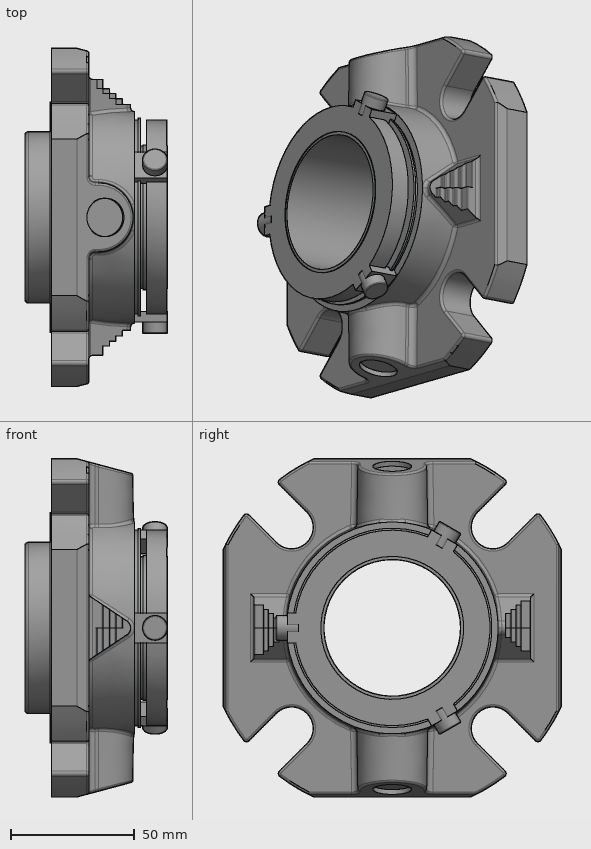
import cadquery as cq
import math


flange_width = 136.5
flange_thickness = 15.15
corner_radius = 75.2
taper_start = 10.3
taper_angle = 15.0
slot_width = 17.3
slot_centre_radius = 57.4
slot_tip_fillet = 1.4
back_edge_fillet = 1.0
pad_diameter = 93.0
pad_height = 0.5

body_base_radius = 43.4
body_end_radius = 42.7
body_end = 33.6
root_fillet = 1.5

boss_centre_x = 19.0
boss_radius = 14.4
boss_draft = 1.0
boss_base_z = 36.0
boss_foot_fillet = 2.5
plug_diameter = 15.5
plug_centre_x = 21.8
plug_recess = 2.0

rib_half_width = 13.0
rib_shoulder_x = 30.6
rib_shoulder_half_width = 2.7
rib_tip_x = 32.0
rib_step_fillet = 0.3
rib_treads = [55.7, 51.9, 50.0, 47.9, 45.6]
rib_risers = [18.4, 20.8, 23.5, 26.0, 28.7]

bore_diameter = 54.99
sleeve_front = -10.7
sleeve_diameter = 69.2
sleeve_fillet = 1.5
overall_length = 57.63
ring_end = sleeve_front + overall_length
ring_diameter = 57.63
seal_diameter = 78.87
seal_end = 35.0
flinger_diameter = 80.39
flinger_end = 36.0
hub_diameter = 58.6
hub_start = 37.0
collar_diameter = 78.87
collar_start = 38.3
collar_end = 46.6

lug_angles = [60, 180, 300]
lug_width = 12.0
lug_inner_radius = 37.9
lug_outer_radius = 42.2
screw_diameter = 10.0
screw_end_radius = 46.8
screw_x = 41.8
screw_edge_fillet = 0.4

half_width = flange_width / 2
tolerance = 0.02
taper_slope = math.tan(math.radians(taper_angle))


def disc(x_start, x_end, diameter):
    """Cylinder on the bearing axis."""
    return cq.Workplane("YZ", origin=(x_start, 0, 0)).circle(diameter / 2).extrude(x_end - x_start)


def tapered_square():
    """Square prism whose sides lean inward beyond taper_start."""
    straight = cq.Workplane("YZ").rect(flange_width, flange_width).extrude(taper_start)
    leaning = (
        cq.Workplane("YZ", origin=(taper_start, 0, 0))
        .rect(flange_width, flange_width)
        .extrude(body_end + boss_radius - taper_start, taper=taper_angle)
    )
    return straight.union(leaning)


def flange_slot(angle):
    """Open bolt slot that runs outward from its round inner end."""
    length = corner_radius
    outer_run = cq.Workplane("YZ").center(slot_centre_radius + length / 2, 0)
    slot = outer_run.rect(length, slot_width).extrude(flange_thickness)
    round_end = cq.Workplane("YZ").center(slot_centre_radius, 0).circle(slot_width / 2)
    slot = slot.union(round_end.extrude(flange_thickness))
    return slot.rotate((0, 0, 0), (1, 0, 0), angle)


def is_slot_tip(edge):
    """True where a slot side meets the turned corner of the flange."""
    centre = edge.Center()
    nearest_axis = min(abs(centre.y), abs(centre.z))
    on_corner = math.hypot(centre.y, centre.z) > corner_radius - slot_tip_fillet
    return on_corner and nearest_axis > half_width / 2


def flange():
    plate = tapered_square().intersect(disc(0, flange_thickness, 2 * corner_radius))
    for angle in (45, 135, 225, 315):
        plate = plate.cut(flange_slot(angle))
    tip_edges = [edge for edge in plate.edges("|X").vals() if is_slot_tip(edge)]
    plate = plate.newObject(tip_edges).fillet(slot_tip_fillet)
    return plate.union(disc(-pad_height, 0, pad_diameter))


def body():
    """Slightly conical housing body."""
    profile = (
        cq.Workplane("XY")
        .lineTo(0, body_base_radius)
        .lineTo(flange_thickness, body_base_radius)
        .lineTo(body_end, body_end_radius)
        .lineTo(body_end, 0)
        .close()
    )
    return profile.revolve(360, (0, 0, 0), (1, 0, 0))


def boss():
    """Drafted boss on +Z with a sloped top, in line with the tapered flange side."""
    outline = (
        cq.Workplane("XY", origin=(0, 0, boss_base_z))
        .moveTo(taper_start, -boss_radius)
        .lineTo(boss_centre_x, -boss_radius)
        .threePointArc((boss_centre_x + boss_radius, 0), (boss_centre_x, boss_radius))
        .lineTo(taper_start, boss_radius)
        .close()
    )
    drafted = outline.extrude(half_width - boss_base_z, taper=boss_draft)
    return drafted.intersect(tapered_square())


def plug_pocket():
    """Round recess square to the sloped boss top on +Z."""
    plug_z = half_width - (plug_centre_x - taper_start) * taper_slope
    lean = math.radians(taper_angle)
    top = cq.Plane(
        origin=(plug_centre_x, 0, plug_z), xDir=(0, 1, 0), normal=(math.sin(lean), 0, math.cos(lean))
    )
    return cq.Workplane(top).circle(plug_diameter / 2).extrude(-plug_recess)


def half_rib(risers, side):
    """Stairs on -Y that fill one side of z = 0; side is +1 for +Z and -1 for -Z."""
    stairs = cq.Workplane("XY").moveTo(taper_start, 0)
    step_start = taper_start
    for tread, step_end in zip(rib_treads, risers):
        stairs = stairs.lineTo(step_start, -tread).lineTo(step_end, -tread)
        step_start = step_end
    return stairs.lineTo(step_start, 0).close().extrude(side * rib_half_width)


def rib():
    """Triangular rib on -Y; its -Z half steps down one riser before its +Z half."""
    early_risers = rib_risers[:-1] + [rib_tip_x]
    late_risers = rib_risers[1:] + [rib_tip_x]
    stairs = half_rib(early_risers, -1).union(half_rib(late_risers, 1))
    triangle = (
        cq.Workplane("XZ")
        .moveTo(taper_start, rib_half_width)
        .lineTo(flange_thickness, rib_half_width)
        .lineTo(rib_shoulder_x, rib_shoulder_half_width)
        .threePointArc((rib_tip_x, 0), (rib_shoulder_x, -rib_shoulder_half_width))
        .lineTo(flange_thickness, -rib_half_width)
        .lineTo(taper_start, -rib_half_width)
        .close()
        .extrude(half_width)
    )
    return stairs.intersect(triangle).edges("|Z").edges("not <X").fillet(rib_step_fillet)


def lug(angle):
    """Collar lug with its set screw, made at +Y and turned into place."""
    height = lug_outer_radius - lug_inner_radius
    block = cq.Workplane("XY").box(collar_end - body_end, height, lug_width, centered=(False, False, True))
    block = block.translate((body_end, lug_inner_radius, 0))
    screw = (
        cq.Workplane("XZ", origin=(screw_x, lug_inner_radius, 0))
        .circle(screw_diameter / 2)
        .extrude(lug_inner_radius - screw_end_radius)
        .faces(">Y")
        .edges()
        .fillet(screw_edge_fillet)
    )
    return block.union(screw).rotate((0, 0, 0), (1, 0, 0), angle)


def bearing():
    sleeve = disc(sleeve_front, 0, sleeve_diameter).faces("<X").edges().fillet(sleeve_fillet)
    parts = sleeve.union(disc(0, ring_end, ring_diameter))
    parts = parts.union(disc(0, seal_end, seal_diameter))
    parts = parts.union(disc(seal_end, flinger_end, flinger_diameter))
    parts = parts.union(disc(hub_start, collar_start, hub_diameter))
    parts = parts.union(disc(collar_start, collar_end, collar_diameter))
    for angle in lug_angles:
        parts = parts.union(lug(angle))
    return parts


def sample_points(edge):
    return [edge.positionAt(fraction) for fraction in (0, 0.5, 1)]


def is_on_back(points):
    return all(abs(p.x - flange_thickness) < tolerance for p in points)


def is_boss_foot(edge):
    """True where a boss side meets the flange back."""
    points = sample_points(edge)
    near_boss = all(abs(p.y) < boss_radius + tolerance for p in points)
    beyond_body = abs(points[1].z) > body_base_radius
    return is_on_back(points) and near_boss and beyond_body


def is_rib_foot(edge):
    """True where a rib side or its outermost tread meets the flange back."""
    points = sample_points(edge)
    near_rib = all(abs(p.z) < rib_half_width + tolerance for p in points)
    within_tread = body_base_radius < abs(points[1].y) < rib_treads[0] + tolerance
    return is_on_back(points) and near_rib and within_tread


def is_back_rim(edge):
    """True for the outer flange edge at the back and the edge around a sloped boss top."""
    points = sample_points(edge)
    middle = points[1]
    beyond_body = math.hypot(middle.y, middle.z) > body_base_radius + root_fillet
    inside_foot = abs(middle.y) < boss_radius + boss_foot_fillet + tolerance
    steep = abs(points[2].z - points[0].z) > abs(points[2].y - points[0].y)
    boss_side = inside_foot and steep
    on_slope = all(
        abs(abs(p.z) - half_width + (p.x - taper_start) * taper_slope) < tolerance for p in points
    )
    behind_flange = all(p.x > flange_thickness - tolerance for p in points)
    on_flange = is_on_back(points) and beyond_body and not boss_side and not is_rib_foot(edge)
    return on_flange or (on_slope and behind_flange)


def is_root(edge):
    """True where the body meets the flange back, a boss or a rib, and at the rib feet."""
    points = sample_points(edge)
    on_body = all(
        body_end_radius - tolerance < math.hypot(p.y, p.z) < body_base_radius + tolerance for p in points
    )
    return (on_body and any(p.x < body_end - tolerance for p in points)) or is_rib_foot(edge)


def fillet_where(part, test, radius):
    return part.newObject([edge for edge in part.edges().vals() if test(edge)]).fillet(radius)


def housing():
    casting = flange().union(body())
    for turn in (0, 180):
        casting = casting.union(boss().rotate((0, 0, 0), (1, 0, 0), turn))
        casting = casting.union(rib().rotate((0, 0, 0), (1, 0, 0), turn))
    casting = fillet_where(casting.clean(), is_boss_foot, boss_foot_fillet)
    casting = fillet_where(casting, is_back_rim, back_edge_fillet)
    casting = fillet_where(casting, is_root, root_fillet)
    for turn in (0, 180):
        casting = casting.cut(plug_pocket().rotate((0, 0, 0), (1, 0, 0), turn))
    return casting


result = housing().union(bearing())
result = result.cut(disc(sleeve_front, ring_end, bore_diameter))